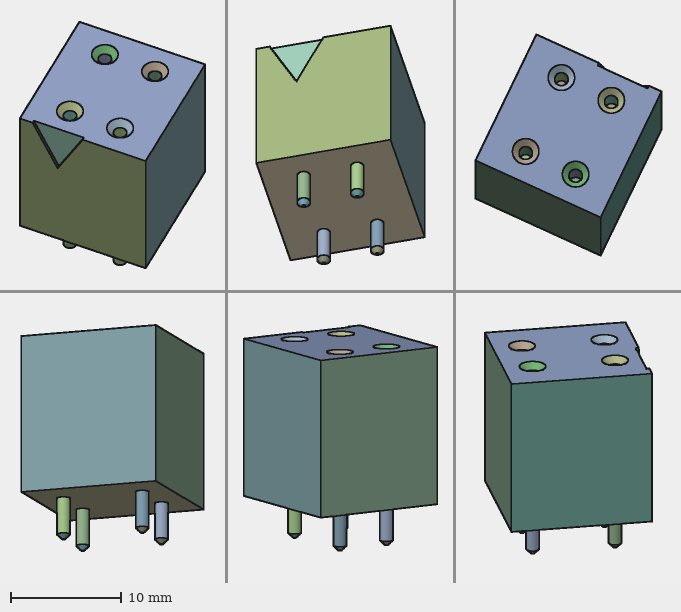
import cadquery as cq

total_height = 18.3
housing_width = 12.54
housing_depth = 13.0
housing_height = 14.5

pin_pitch_x = 5.0
pin_pitch_y = 7.61

pin_diameter = 1.2
pin_tip_diameter = 0.3
pin_tip_length = 0.45
socket_depth = 3.66

lead_in_diameter = 2.4
lead_in_depth = 0.6

marker_width = 5.0
marker_height = 5.0
marker_depth = 0.27

housing_bottom = total_height - housing_height
pin_top = total_height - socket_depth
pin_places = [
    (x * pin_pitch_x / 2, y * pin_pitch_y / 2)
    for x in (-1, 1)
    for y in (-1, 1)
]


def make_bore_cutter(x, y):
    """Through bore with a conical lead-in at the top."""
    bore_radius = pin_diameter / 2
    profile = [
        (0, housing_bottom),
        (bore_radius, housing_bottom),
        (bore_radius, total_height - lead_in_depth),
        (lead_in_diameter / 2, total_height),
        (0, total_height),
    ]
    cutter = cq.Workplane("XZ").polyline(profile).close().revolve(360, (0, 0), (0, 1))
    return cutter.translate((x, y, 0))


def make_marker_cutter():
    """Triangle that points down from the top edge of the -Y face."""
    marker_x = -pin_pitch_x / 2
    corners = [
        (marker_x - marker_width / 2, total_height),
        (marker_x + marker_width / 2, total_height),
        (marker_x, total_height - marker_height),
    ]
    front_face = cq.Workplane("XZ", origin=(0, -housing_depth / 2, 0))
    return front_face.polyline(corners).close().extrude(-marker_depth)


def make_housing():
    """Rectangular block with the pin bores and the marker recess."""
    block = cq.Workplane("XY", origin=(0, 0, housing_bottom)).box(
        housing_width, housing_depth, housing_height, centered=(True, True, False)
    )
    for x, y in pin_places:
        block = block.cut(make_bore_cutter(x, y))
    return block.cut(make_marker_cutter())


def make_pin(x, y):
    """Round pin with a blunt conical tip at z = 0."""
    pin_radius = pin_diameter / 2
    profile = [
        (0, 0),
        (pin_tip_diameter / 2, 0),
        (pin_radius, pin_tip_length),
        (pin_radius, pin_top),
        (0, pin_top),
    ]
    pin = cq.Workplane("XZ").polyline(profile).close().revolve(360, (0, 0), (0, 1))
    return pin.translate((x, y, 0))


housing = make_housing()
pins = [make_pin(x, y) for x, y in pin_places]

result = cq.Compound.makeCompound([housing.val(), *[pin.val() for pin in pins]])